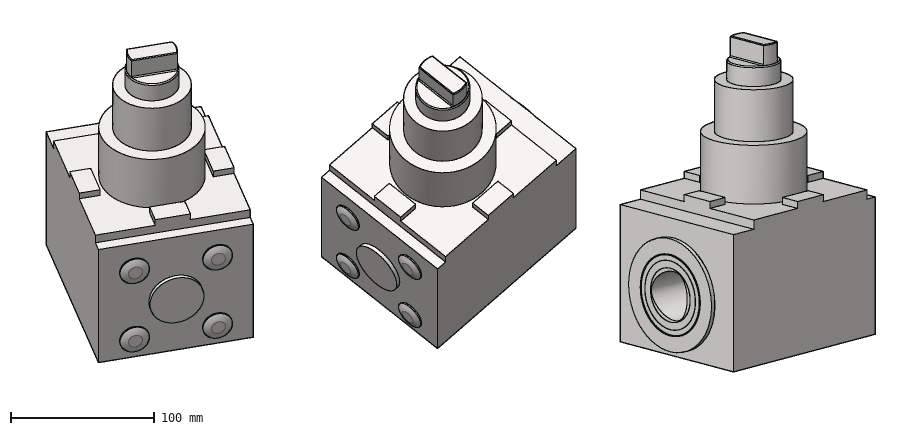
import cadquery as cq
import math

body_left = -76.0
body_right = 64.2
body_width = 112.0
shoulder_height = 99.5
deck_height = 106.3

key_top = 111.2
key_width = 25.5
key_length = 15.1

spindle_steps = [(74.5, 148.8), (55.0, 186.5), (38.0, 200.9)]
spindle_chamfer = 0.9
tang_diameter = 35.9
tang_thickness = 13.8
tang_top = 216.0
tang_chamfer = 0.6
foot_flare = 0.9

socket_height = 46.0
collar_diameter = 75.0
collar_length = 3.2
flange_diameter = 81.9
flange_thickness = 3.5
groove_outer_diameter = 59.0
groove_inner_diameter = 57.7
groove_depth = 0.5
face_steps = [50.0, 39.0]
face_step_depth = 0.2

bore_radius = 17.7
lobe_height = 1.19
bore_depth = 34.5
bore_shrink = 0.9
bore_point_count = 36

cap_diameter = 39.0
cap_thickness = 3.0
screw_offset = 30.0
screw_diameter = 21.4
screw_rim_height = 1.0
screw_mid_diameter = 16.0
screw_mid_height = 2.4
screw_flat_diameter = 10.2


def cylinder_z(diameter, bottom, top):
    """Cylinder on the spindle axis between two heights."""
    return cq.Workplane("XY", origin=(0, 0, bottom)).circle(diameter / 2).extrude(top - bottom)


def cylinder_x(diameter, start, length):
    """Cylinder on the socket axis, running toward +X."""
    return cq.Workplane("YZ", origin=(start, 0, socket_height)).circle(diameter / 2).extrude(length)


def housing():
    length = body_right - body_left
    center = (body_right + body_left) / 2
    block = cq.Workplane("XY").center(center, 0).rect(length, body_width).extrude(shoulder_height)
    deck = cq.Workplane("XY").rect(body_width, body_width).extrude(deck_height)
    return block.union(deck)


def keys():
    key = (
        cq.Workplane("XY", origin=(0, 0, shoulder_height))
        .center((body_width - key_length) / 2, 0)
        .rect(key_length, key_width)
        .extrude(key_top - shoulder_height)
    )
    all_keys = key
    for angle in (90, 180, 270):
        all_keys = all_keys.union(key.rotate((0, 0, 0), (0, 0, 1), angle))
    return all_keys


def spindle():
    body = None
    bottom = shoulder_height
    for diameter, top in spindle_steps:
        step = cylinder_z(diameter, bottom, top)
        body = step if body is None else body.union(step)
        bottom = top
    return body.faces(">Z").edges().chamfer(spindle_chamfer)


def tang():
    """Flat drive tang with rounded ends and a flared foot."""
    bottom = spindle_steps[-1][1]
    height = tang_top - bottom
    slab = cq.Workplane("XY", origin=(0, 0, bottom)).rect(tang_thickness, tang_diameter).extrude(height)
    blade = cylinder_z(tang_diameter, bottom, tang_top).intersect(slab)
    blade = blade.faces(">Z").edges().chamfer(tang_chamfer)
    foot = (
        cq.Workplane("XY", origin=(0, 0, bottom))
        .rect(tang_thickness + 2 * foot_flare, tang_diameter)
        .workplane(offset=foot_flare)
        .rect(tang_thickness, tang_diameter)
        .loft(ruled=True)
        .intersect(cylinder_z(tang_diameter, bottom, tang_top))
    )
    return blade.union(foot)


def lobed_points(radius):
    """Three-lobed outline with one lobe pointing toward +Y."""
    points = []
    for index in range(bore_point_count):
        angle = 2 * math.pi * index / bore_point_count
        y = radius * math.cos(angle) + lobe_height * (2 * math.cos(2 * angle) - math.cos(4 * angle))
        z = radius * math.sin(angle) - lobe_height * (2 * math.sin(2 * angle) + math.sin(4 * angle))
        points.append((y, z))
    return points


flange_face = body_left - collar_length - flange_thickness


def socket():
    collar = cylinder_x(collar_diameter, body_left - collar_length, collar_length)
    return collar.union(cylinder_x(flange_diameter, flange_face, flange_thickness))


def socket_cut():
    """Ring groove, shallow face steps and the lobed bore."""
    cut = (
        cq.Workplane("YZ", origin=(flange_face, 0, socket_height))
        .circle(groove_outer_diameter / 2)
        .circle(groove_inner_diameter / 2)
        .extrude(groove_depth)
    )
    for level, diameter in enumerate(face_steps, start=1):
        cut = cut.union(cylinder_x(diameter, flange_face, level * face_step_depth))
    bore = (
        cq.Workplane("YZ", origin=(flange_face, 0, socket_height))
        .spline(lobed_points(bore_radius), periodic=True)
        .close()
        .workplane(offset=bore_depth)
        .spline(lobed_points(bore_radius - bore_shrink), periodic=True)
        .close()
        .loft(ruled=True)
    )
    return cut.union(bore)


def screw_head(y, z):
    """Domed screw head standing on the +X face."""
    return (
        cq.Workplane("XY")
        .lineTo(screw_diameter / 2, 0)
        .lineTo(screw_diameter / 2, screw_rim_height)
        .threePointArc((screw_mid_diameter / 2, screw_mid_height), (screw_flat_diameter / 2, cap_thickness))
        .lineTo(0, cap_thickness)
        .close()
        .revolve(360, (0, 0), (0, 1))
        .rotate((0, 0, 0), (0, 0, 1), -90)
        .translate((body_right, y, z))
    )


def end_cap():
    cap = cylinder_x(cap_diameter, body_right, cap_thickness)
    for y in (-screw_offset, screw_offset):
        for dz in (-screw_offset, screw_offset):
            cap = cap.union(screw_head(y, socket_height + dz))
    return cap


result = housing()
for feature in (keys(), spindle(), tang(), socket(), end_cap()):
    result = result.union(feature)
result = result.cut(socket_cut())